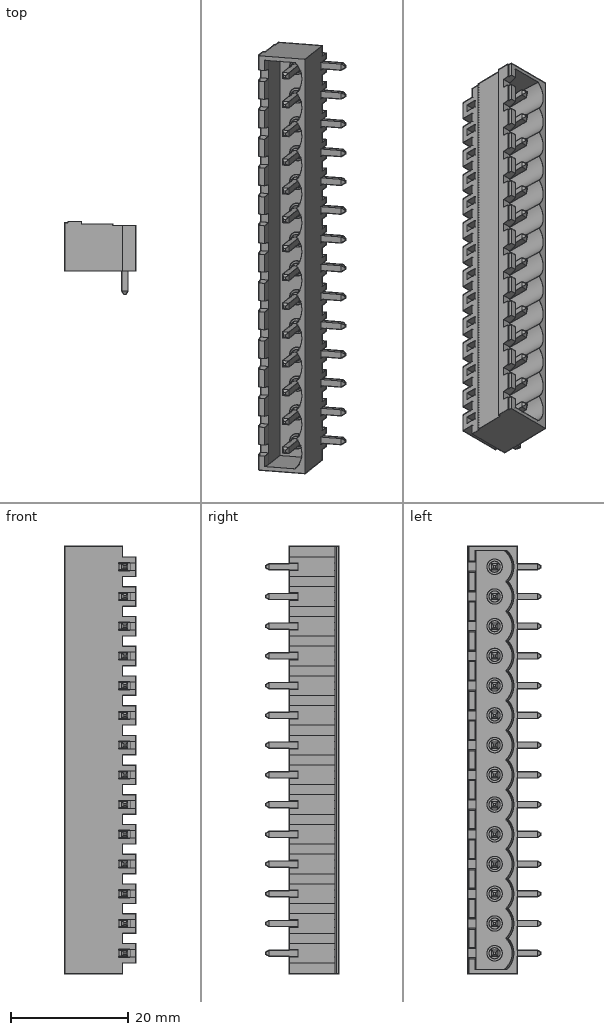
import cadquery as cq

pole_count = 14
pitch = 5.08
length = 73.1
first_pole_z = (length - (pole_count - 1) * pitch) / 2
pole_heights = [first_pole_z + i * pitch for i in range(pole_count)]

body_depth = 9.95
foot_end = 12.2
lip_height = 8.25
lug_height = 8.5
lug_start = 0.6
lug_end = 2.9
wall_height = 8.05
rear_start = 8.25
rear_height = 7.8

foot_width = 3.4
channel_width = 1.3
channel_start = 9.3
channel_end = 11.2
foot_recess_height = 1.45

end_wall = 0.7
cavity_depth = 8.05
cavity_mouth_top = 7.25
cavity_floor_top = 7.0
scallop_axis_y = 4.4
scallop_mouth_radius = 3.8
scallop_floor_radius = 3.5

notch_mouth_width = 2.0
notch_rear_width = 1.5
notch_depth = 1.6

pin_width = 1.1
pin_y = 3.9
pin_x = 10.3
pin_tip_x = 0.7
pin_tail_y = -4.0
pin_tip_length = 0.6
pin_tip_width = 0.4
collar_diameter = 2.6
collar_step_diameter = 1.9
collar_height = 0.6


def box(x_range, y_range, z_range):
    """Axis-aligned block between the given limits."""
    sizes = [high - low for low, high in (x_range, y_range, z_range)]
    origin = (x_range[0], y_range[0], z_range[0])
    return cq.Workplane("XY").box(*sizes, centered=False).translate(origin)


def centred(middle, width):
    """Limits of a span of the given width about its middle."""
    return (middle - width / 2, middle + width / 2)


def housing_block():
    """Stepped outer profile extruded along the row of poles."""
    return (
        cq.Workplane("XY")
        .moveTo(0, 0)
        .lineTo(body_depth, 0)
        .lineTo(body_depth, rear_height)
        .lineTo(rear_start, rear_height)
        .lineTo(rear_start, wall_height)
        .lineTo(lug_end, wall_height)
        .lineTo(lug_end, lug_height)
        .lineTo(lug_start, lug_height)
        .lineTo(lug_start, lip_height)
        .lineTo(0, lip_height)
        .close()
        .extrude(length)
    )


def scallop(z):
    """Cone tapering from the mouth to the cavity floor at one pole."""
    mouth_plane = cq.Plane((0, scallop_axis_y, z), xDir=(0, 1, 0), normal=(1, 0, 0))
    return (
        cq.Workplane(mouth_plane)
        .circle(scallop_mouth_radius)
        .workplane(offset=cavity_depth)
        .circle(scallop_floor_radius)
        .loft(combine=True)
    )


def cavity():
    """Plug cavity: a lead-in along its +Y wall and a row of tapered scallops on its -Y side."""
    cavity_length = length - 2 * end_wall
    upper_half = (
        cq.Workplane("XY", origin=(0, 0, end_wall))
        .moveTo(0, scallop_axis_y)
        .lineTo(cavity_depth, scallop_axis_y)
        .lineTo(cavity_depth, cavity_floor_top)
        .lineTo(notch_depth, cavity_floor_top)
        .lineTo(0, cavity_mouth_top)
        .close()
        .extrude(cavity_length)
    )
    scallops = scallop(pole_heights[0])
    for z in pole_heights[1:]:
        scallops = scallops.union(scallop(z))
    lower_half = box((0, cavity_depth), (0, scallop_axis_y), (end_wall, end_wall + cavity_length))
    return scallops.intersect(lower_half).union(upper_half)


def square_tip(base, square, tip_square, height):
    """Tapered square point standing on the given plane."""
    return (
        cq.Workplane(base)
        .rect(square, square)
        .workplane(offset=height)
        .rect(tip_square, tip_square)
        .loft(combine=True)
    )


def pin(z):
    """Right-angle pin with tapered ends and a stepped collar on the cavity floor."""
    z_range = centred(z, pin_width)
    plug_start = pin_tip_x + pin_tip_length
    tail_end = pin_tail_y + pin_tip_length
    bend_x = pin_x + pin_width / 2
    bend_y = pin_y + pin_width / 2
    plug_leg = box((plug_start, bend_x), centred(pin_y, pin_width), z_range)
    tail_leg = box(centred(pin_x, pin_width), (tail_end, bend_y), z_range)
    plug_plane = cq.Plane((plug_start, pin_y, z), xDir=(0, 1, 0), normal=(-1, 0, 0))
    tail_plane = cq.Plane((pin_x, tail_end, z), xDir=(1, 0, 0), normal=(0, -1, 0))
    plug_tip = square_tip(plug_plane, pin_width, pin_tip_width, pin_tip_length)
    tail_tip = square_tip(tail_plane, pin_width, pin_tip_width, pin_tip_length)
    floor_plane = cq.Plane((cavity_depth, pin_y, z), xDir=(0, 1, 0), normal=(-1, 0, 0))
    collar = (
        cq.Workplane(floor_plane)
        .circle(collar_diameter / 2)
        .extrude(collar_height / 2)
        .faces("<X")
        .workplane()
        .circle(collar_step_diameter / 2)
        .extrude(collar_height / 2)
    )
    return plug_leg.union(tail_leg).union(plug_tip).union(tail_tip).union(collar)


def foot(z):
    """Rear standoff foot behind one pole."""
    return box((body_depth, foot_end), (0, rear_height), centred(z, foot_width))


def notch(z):
    """Coding notch through the +Y wall, narrowing away from the mouth."""
    return (
        cq.Workplane("XZ", origin=(0, lug_height, z))
        .moveTo(0, -notch_mouth_width / 2)
        .lineTo(notch_depth, -notch_rear_width / 2)
        .lineTo(notch_depth, notch_rear_width / 2)
        .lineTo(0, notch_mouth_width / 2)
        .close()
        .extrude(lug_height - cavity_floor_top)
    )


def pole_cuts(z):
    """Pin channel, recess at the end of the foot and coding notch of one pole."""
    channel_z = centred(z, channel_width)
    channel = box((channel_start, channel_end), (0, rear_height), channel_z)
    recess = box((channel_end, foot_end), (0, foot_recess_height), channel_z)
    return channel.union(recess).union(notch(z))


result = housing_block().cut(cavity())
for z in pole_heights:
    result = result.union(foot(z)).cut(pole_cuts(z)).union(pin(z))